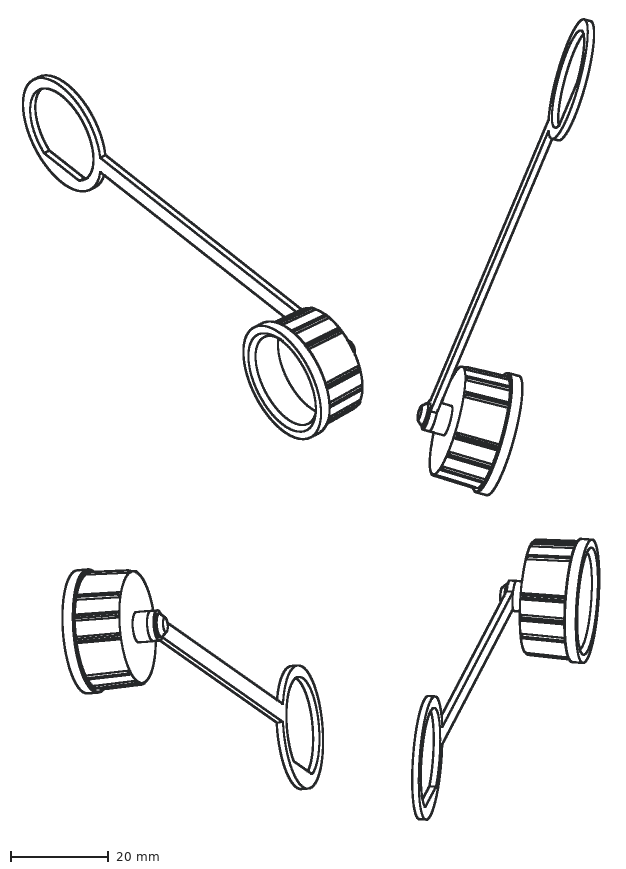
import cadquery as cq
import math


TOTAL_LENGTH = 115.9
TOTAL_DEPTH = 18.0
RING_DIAMETER = 25.4
RING_RADIUS = RING_DIAMETER / 2
TETHER_SPAN = TOTAL_LENGTH - 2 * RING_RADIUS

FLANGE_RADIUS = RING_RADIUS
FLANGE_THICKNESS = 2.4
FLANGE_CHAMFER = 0.17
CAP_DEPTH = 11.9
WALL_BASE_RADIUS = 11.8
WALL_END_RADIUS = 11.5
MOUTH_RADIUS = 11.0
BORE_RADIUS = 10.0
MOUTH_CHAMFER_DEPTH = 1.0
BORE_DEPTH = 7.0

RIB_HEIGHT = 0.38
RIB_BASE_WIDTH = 1.3
RIB_CREST_WIDTH = 0.5
RIB_ROOT_OVERLAP = 0.1
RIB_END_ROUND = 0.6
RIBS_PER_GROUP = 3
RIB_GROUPS = 4
RIB_PITCH_ANGLE = 22.5

STRAP_START = 15.1
STRAP_THICKNESS = 1.4
STRAP_END = STRAP_START + STRAP_THICKNESS
STRAP_WIDTH = 3.8
RING_HOLE_RADIUS = 10.3
RING_FLAT_OFFSET = 8.6
EYE_RADIUS = 3.1

SHANK_RADIUS = EYE_RADIUS
NECK_RADIUS = 2.4
HEAD_TOP_RADIUS = 1.5
HEAD_CHAMFER = 1.0


def revolve_about_y(points):
    """Revolve a closed (radius, y) outline a full turn about the Y axis."""
    return cq.Workplane("XY").polyline(points).close().revolve(360, (0, 0, 0), (0, 1, 0))


def disc(radius, start, end, x=0.0):
    """Round disc with its axis along Y, from Y = start to Y = end."""
    return (
        cq.Workplane("XZ", origin=(x, start, 0))
        .circle(radius)
        .extrude(start - end)
    )


def rib_section(wall_radius, y):
    """Trapezoid across a rib on the +X side, its sloped flanks running on into the wall."""
    root = wall_radius - RIB_ROOT_OVERLAP
    crest = wall_radius + RIB_HEIGHT
    flank_slope = (RIB_BASE_WIDTH - RIB_CREST_WIDTH) / RIB_HEIGHT
    root_width = RIB_BASE_WIDTH + flank_slope * RIB_ROOT_OVERLAP
    corners = [
        (root, -root_width / 2),
        (crest, -RIB_CREST_WIDTH / 2),
        (crest, RIB_CREST_WIDTH / 2),
        (root, root_width / 2),
    ]
    return cq.Wire.makePolygon([cq.Vector(x, y, z) for x, z in corners], close=True)


def make_rib():
    """One ridge on the +X side, from the flange to the closed end of the cap, with a rounded end."""
    rib = cq.Solid.makeLoft(
        [
            rib_section(WALL_BASE_RADIUS, FLANGE_THICKNESS),
            rib_section(WALL_END_RADIUS, CAP_DEPTH),
        ],
        True,
    )
    end_crest = WALL_END_RADIUS + RIB_HEIGHT
    round_start = CAP_DEPTH - RIB_END_ROUND
    round_middle = RIB_END_ROUND * math.sin(math.radians(45))
    rounded_end = (
        cq.Workplane("XY")
        .lineTo(FLANGE_RADIUS, 0)
        .lineTo(FLANGE_RADIUS, round_start)
        .lineTo(end_crest, round_start)
        .threePointArc(
            (end_crest - RIB_END_ROUND + round_middle, round_start + round_middle),
            (end_crest - RIB_END_ROUND, CAP_DEPTH),
        )
        .lineTo(0, CAP_DEPTH)
        .close()
        .revolve(360, (0, 0, 0), (0, 1, 0))
    )
    return cq.Workplane(obj=rib).intersect(rounded_end)


def make_cap():
    """Cup with a chamfered rim flange, a chamfered mouth and grouped grip ribs."""
    cap = revolve_about_y([
        (0, BORE_DEPTH),
        (BORE_RADIUS, BORE_DEPTH),
        (BORE_RADIUS, MOUTH_CHAMFER_DEPTH),
        (MOUTH_RADIUS, 0),
        (FLANGE_RADIUS, 0),
        (FLANGE_RADIUS, FLANGE_THICKNESS - FLANGE_CHAMFER),
        (FLANGE_RADIUS - FLANGE_CHAMFER, FLANGE_THICKNESS),
        (WALL_BASE_RADIUS, FLANGE_THICKNESS),
        (WALL_END_RADIUS, CAP_DEPTH),
        (0, CAP_DEPTH),
    ])
    rib = make_rib()
    for group in range(RIB_GROUPS):
        for place in range(RIBS_PER_GROUP):
            offset = (place - (RIBS_PER_GROUP - 1) / 2) * RIB_PITCH_ANGLE
            angle = group * 360 / RIB_GROUPS + offset
            cap = cap.union(rib.rotate((0, 0, 0), (0, 1, 0), angle))
    return cap.solids()


def make_strap():
    """Flat tether: a ring with a flatted hole, a straight band and an eye for the pin."""
    ring = disc(RING_RADIUS, STRAP_START, STRAP_END, -TETHER_SPAN)
    band = (
        cq.Workplane("XY")
        .box(TETHER_SPAN, STRAP_THICKNESS, STRAP_WIDTH, centered=(True, False, True))
        .translate((-TETHER_SPAN / 2, STRAP_START, 0))
    )
    eye = disc(EYE_RADIUS, STRAP_START, STRAP_END)

    flat_height = RING_HOLE_RADIUS + RING_FLAT_OFFSET
    above_flat = (
        cq.Workplane("XY")
        .box(2 * RING_HOLE_RADIUS, STRAP_THICKNESS, flat_height, centered=(True, False, False))
        .translate((-TETHER_SPAN, STRAP_START, -RING_FLAT_OFFSET))
    )
    ring_hole = disc(RING_HOLE_RADIUS, STRAP_START, STRAP_END, -TETHER_SPAN).intersect(above_flat)
    pin_hole = disc(NECK_RADIUS, STRAP_START, STRAP_END)
    return ring.union(band).union(eye).cut(ring_hole).cut(pin_hole).solids()


def make_pin():
    """Stepped pin standing on the closed end of the cap, its neck filling the strap eye."""
    return revolve_about_y([
        (0, CAP_DEPTH),
        (SHANK_RADIUS, CAP_DEPTH),
        (SHANK_RADIUS, STRAP_START),
        (NECK_RADIUS, STRAP_START),
        (NECK_RADIUS, TOTAL_DEPTH - HEAD_CHAMFER),
        (HEAD_TOP_RADIUS, TOTAL_DEPTH),
        (0, TOTAL_DEPTH),
    ])


cap = make_cap()
strap = make_strap()
pin = make_pin()

result = cq.Compound.makeCompound([cap.val(), strap.val(), pin.val()])